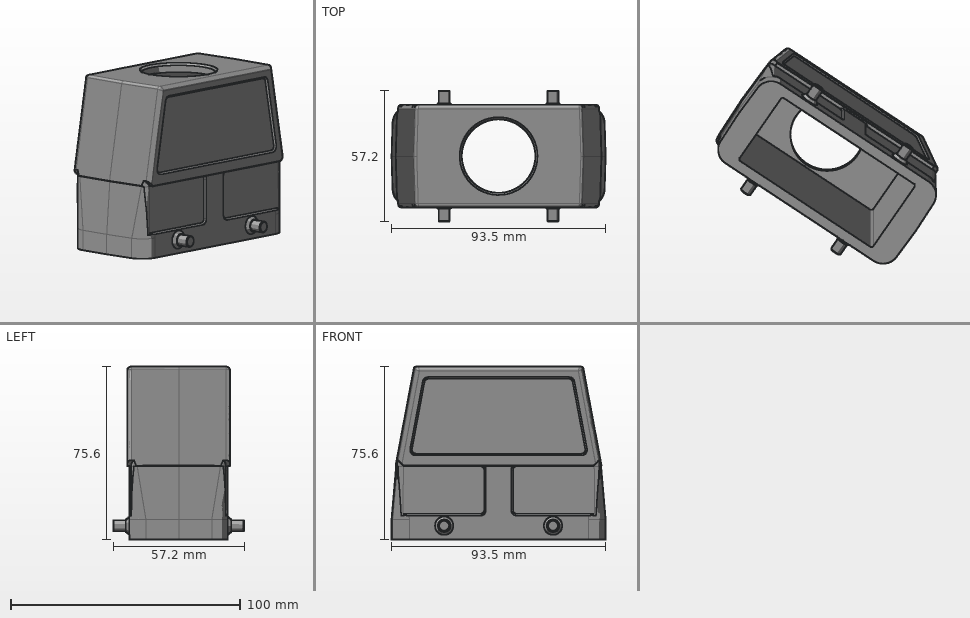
import cadquery as cq

base_length = 93.5
base_width = 42.9
hood_width = 45.0
total_height = 75.6

base_top = 9.0
hood_bottom = 32.1

end_ridge_slope = 0.03
base_corner_radius = 7.3
waist_corner_radius = 3.4
waist_length = 89.5
hood_bottom_length = 90.0
end_slope = 0.187
hood_side_radius = 1.9
hood_end_radius = 1.3
hood_lip_chamfer = 0.3

entry_diameter = 32.0
entry_chamfer = 1.0
roof_thickness = 4.0
cavity_length = 70.4
cavity_width = 34.0
cavity_corner_radius = 1.0

panel_depth = 0.8
panel_wall_angle = 45.0
panel_corner_radius = 2.5
window_bottom = 36.8
window_top = 71.0
window_end_margin = 5.0
side_panel_bottom = 10.5
side_panel_inner_x = 5.5
panel_core_margin = 0.2
panel_core_bottom_radius = 4.6
panel_core_top_radius = 2.8

corner_start_x = waist_length / 2 - end_ridge_slope * base_width / 2 - panel_core_top_radius
corner_start_y = base_width / 2 - panel_depth - panel_core_bottom_radius

pin_x = 23.75
pin_z = 6.1
pin_diameter = 4.9
pin_span = 57.2
pin_tip_chamfer = 0.3
pin_foot_diameter = 8.0
pin_collar_diameter = 5.5
pin_foot_height = 1.5

overlap = 1.0


def ridged_outline(length, width, z, corner_radius=0.0):
    """Closed rectangle at height z whose two ends rise to a faint point in the middle."""
    half_x = length / 2
    half_y = width / 2
    corner_x = half_x - end_ridge_slope * half_y
    points = [
        (corner_x, -half_y),
        (half_x, 0),
        (corner_x, half_y),
        (-corner_x, half_y),
        (-half_x, 0),
        (-corner_x, -half_y),
    ]
    outline = cq.Workplane("XY", origin=(0, 0, z)).polyline(points).close().val()
    if not corner_radius:
        return outline
    face = cq.Face.makeFromWires(outline)
    rounded = [v for v in face.Vertices() if abs(v.Y) > half_y / 2]
    return face.fillet2D(corner_radius, rounded).outerWire()


def hood_half_length(z):
    """Half length of the upper hood at height z, measured on its centre line."""
    return hood_bottom_length / 2 - end_slope * (z - hood_bottom)


def ruled_body(lower_outline, upper_outline):
    """Solid with straight-line walls between two outlines at different heights."""
    return cq.Workplane(cq.Solid.makeLoft([lower_outline, upper_outline], True))


def make_lower_body():
    """Upright base band, then walls that taper up to a waist with tighter corners."""
    bottom = ridged_outline(base_length, base_width, 0, base_corner_radius)
    shoulder = ridged_outline(base_length, base_width, base_top, base_corner_radius)
    waist = ridged_outline(waist_length, base_width, hood_bottom, waist_corner_radius)
    return ruled_body(bottom, shoulder).union(ruled_body(shoulder, waist))


def make_upper_hood():
    """Leaning upper hood with rounded edges and a chamfered lower lip."""
    lower = ridged_outline(hood_bottom_length, hood_width, hood_bottom)
    upper = ridged_outline(2 * hood_half_length(total_height), hood_width, total_height)
    hood = ruled_body(lower, upper)
    hood = hood.faces(">Z").edges("not |X").fillet(hood_end_radius)
    hood = hood.faces("<Y or >Y").edges("not <Z").fillet(hood_side_radius)
    return hood.edges("|X and <Z").chamfer(hood_lip_chamfer)


def panel_cutter(points, face_y):
    """Rounded pocket cut into the -Y face at face_y, its walls sloping inward."""
    pocket = (
        cq.Workplane("XZ", origin=(0, -face_y, 0))
        .polyline(points)
        .close()
        .extrude(-panel_depth)
        .edges("|Y")
        .fillet(panel_corner_radius)
    )
    rim = pocket.faces("<Y").wires().toPending()
    return rim.extrude(-panel_depth, combine=False, taper=panel_wall_angle)


def both_sides(body):
    """The body together with its mirror image across the X-Z plane."""
    return body.union(body.mirror("XZ"))


def four_corners(body):
    """The body repeated in all four X-Y quadrants by mirroring."""
    return both_sides(body.union(body.mirror("YZ")))


def make_windows():
    """Large trapezoidal panel on each long side, its ends parallel to those of the hood."""
    half_bottom = hood_half_length(window_bottom) - window_end_margin
    half_top = hood_half_length(window_top) - window_end_margin
    points = [
        (-half_bottom, window_bottom),
        (half_bottom, window_bottom),
        (half_top, window_top),
        (-half_top, window_top),
    ]
    return both_sides(panel_cutter(points, hood_width / 2))


def make_panel_core():
    """Upright block whose rounded corners form the ground of the side panels."""
    width = base_width - 2 * panel_depth
    shoulder_length = base_length + 2 * panel_core_margin
    top_length = waist_length + 2 * panel_core_margin
    shoulder = ridged_outline(shoulder_length, width, base_top, panel_core_bottom_radius)
    waist = ridged_outline(top_length, width, hood_bottom, panel_core_top_radius)
    top = ridged_outline(top_length, width, total_height, panel_core_top_radius)
    return ruled_body(shoulder, waist).union(ruled_body(waist, top))


def corner_block(profile):
    """Block of the given X-Z profile at one -Y corner, less the panel core."""
    outer_y = hood_width / 2 + overlap
    block = cq.Workplane("XZ", origin=(0, -corner_start_y, 0)).polyline(profile).close()
    return block.extrude(outer_y - corner_start_y).cut(make_panel_core())


def make_side_panels():
    """Four pockets below the hood, open at the ends and wrapping round the corners."""
    outer_x = base_length / 2 + overlap
    panel_top = hood_bottom + panel_depth
    points = [
        (side_panel_inner_x, side_panel_bottom),
        (outer_x + panel_corner_radius, side_panel_bottom),
        (outer_x + panel_corner_radius, panel_top),
        (side_panel_inner_x, panel_top),
    ]
    pocket = panel_cutter(points, base_width / 2)
    corner = corner_block(
        [
            (corner_start_x, side_panel_bottom),
            (outer_x, side_panel_bottom),
            (outer_x, hood_bottom),
            (corner_start_x, hood_bottom),
        ]
    )
    return four_corners(pocket.union(corner))


def make_hood_corner_cuts():
    """Cuts that lift the lower edge of the hood at 45 degrees towards each end."""
    end_x = hood_bottom_length / 2
    rise = end_x - corner_start_x
    profile = [(corner_start_x, hood_bottom), (end_x, hood_bottom), (end_x, hood_bottom + rise)]
    return four_corners(corner_block(profile))


def make_pin():
    """Pin on the -Y side: conical foot, thin shank and chamfered tip."""
    face_y = base_width / 2
    foot_end = face_y + pin_foot_height
    tip = pin_span / 2
    shank_radius = pin_diameter / 2
    profile = [
        (0, face_y - overlap),
        (pin_foot_diameter / 2, face_y - overlap),
        (pin_foot_diameter / 2, face_y),
        (pin_collar_diameter / 2, foot_end),
        (shank_radius, foot_end),
        (shank_radius, tip - pin_tip_chamfer),
        (shank_radius - pin_tip_chamfer, tip),
        (0, tip),
    ]
    pin = cq.Workplane("XY").polyline(profile).close().revolve(360, (0, 0), (0, 1))
    return pin.mirror("XZ").translate((pin_x, 0, pin_z))


def make_cavity():
    """Straight-walled hollow, open at the bottom and closed by the roof."""
    return (
        cq.Workplane("XY")
        .rect(cavity_length, cavity_width)
        .extrude(total_height - roof_thickness)
        .edges("|Z")
        .fillet(cavity_corner_radius)
    )


def make_cable_entry():
    """Round hole through the roof with a chamfered rim."""
    radius = entry_diameter / 2
    hole = cq.Workplane("XY").circle(radius).extrude(total_height)
    rim = (
        cq.Workplane("XY", origin=(0, 0, total_height))
        .circle(radius + entry_chamfer)
        .workplane(offset=-entry_chamfer)
        .circle(radius)
        .loft()
    )
    return hole.union(rim)


lower_body = make_lower_body().cut(make_side_panels())
upper_hood = make_upper_hood().cut(make_windows()).cut(make_hood_corner_cuts())
shell = lower_body.union(upper_hood).union(four_corners(make_pin()))
result = shell.cut(make_cavity()).cut(make_cable_entry())